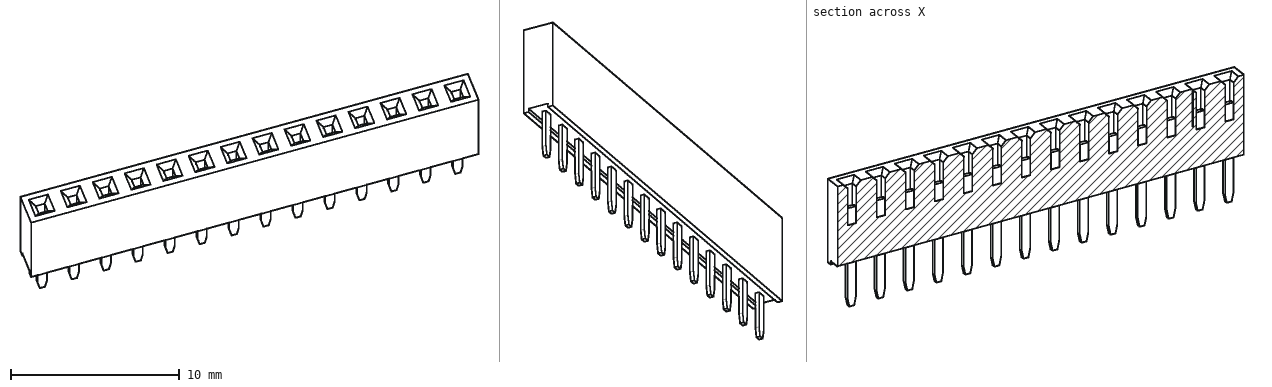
import cadquery as cq

pin_count = 14
housing_length = 28.0
housing_width = 2.0
housing_height = 5.6
pitch = housing_length / pin_count

channel_width = 1.32
channel_depth = 0.22

mouth_width = 1.25
mouth_length = 1.2
hole_size = 0.55
mouth_depth = 0.35
hole_depth = 2.8

pin_thickness = 0.25
pin_width = 0.6
pin_tip_width = 0.35
pin_taper_length = 0.6
total_height = 8.3
pin_tip_z = housing_height - total_height
contact_height = 1.12
pin_top_z = housing_height - hole_depth + contact_height

pin_positions = [(0, (i - (pin_count - 1) / 2) * pitch) for i in range(pin_count)]


def make_housing():
    """Bar standing on Z = 0, with the channel cut along its underside."""
    bar = cq.Workplane("XY").box(housing_width, housing_length, housing_height, centered=(True, True, False))
    channel = cq.Workplane("XY").box(channel_width, housing_length, channel_depth, centered=(True, True, False))
    return bar.cut(channel)


def make_socket():
    """Cutter for one socket, centred on the Z axis."""
    mouth = (
        cq.Workplane("XY", origin=(0, 0, housing_height))
        .rect(mouth_width, mouth_length)
        .workplane(offset=-mouth_depth)
        .rect(hole_size, hole_size)
        .loft(ruled=True)
    )
    hole = (
        cq.Workplane("XY", origin=(0, 0, housing_height - hole_depth))
        .rect(hole_size, hole_size)
        .extrude(hole_depth - mouth_depth)
    )
    return mouth.union(hole)


def make_pin():
    """One flat pin, centred on the Z axis."""
    taper_start_z = pin_tip_z + pin_taper_length
    outline = [
        (-pin_width / 2, pin_top_z),
        (-pin_width / 2, taper_start_z),
        (-pin_tip_width / 2, pin_tip_z),
        (pin_tip_width / 2, pin_tip_z),
        (pin_width / 2, taper_start_z),
        (pin_width / 2, pin_top_z),
    ]
    return cq.Workplane("YZ").polyline(outline).close().extrude(pin_thickness / 2, both=True)


def at_every_position(shape):
    """Copies of a shape at all the pin positions."""
    solid = shape.val()
    return cq.Workplane("XY").pushPoints(pin_positions).eachpoint(lambda place: solid.moved(place))


result = make_housing().cut(at_every_position(make_socket())).union(at_every_position(make_pin()))